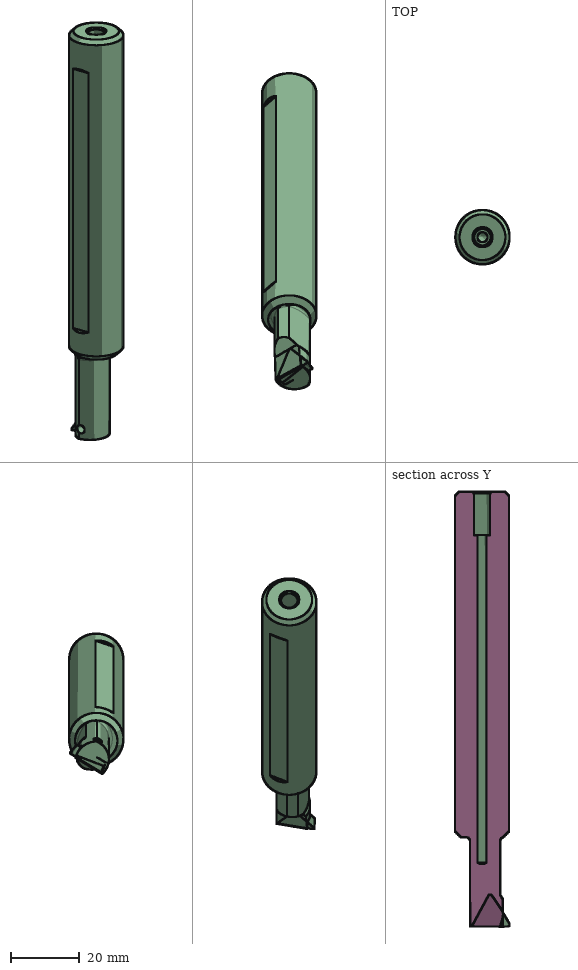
import cadquery as cq
import math


total_height = 127.1
shank_radius = 7.95
top_chamfer = 1.3
shank_bottom = 28.1
shank_taper = 1.8
underside_height = shank_bottom - shank_taper
root_fillet = 1.0

flat_depth = 0.5
flat_bottom = 35.5
flat_top = 117.0
flat_end_slope = 0.6

socket_radius = 2.4
socket_chamfer = 0.5
socket_depth = 12.7
coolant_radius = 1.46
coolant_bottom = 19.1
drill_point_angle = 118.0

neck_bottom = 0.4
neck_radius = 6.1
neck_right_radius = 5.8
neck_right = 3.5

relief_radius = 11.0
relief_left = -5.3
relief_bottom = 7.6
relief_ramp_depth = 1.3
relief_ramp_height = 1.9

tip = (-8.5, 0.0, 0.4)
edge_length = 11.7
edge_drop = 2.1
radial_tilt = 13.0
axial_tilt = 4.0
nose_radius = 0.6
insert_thickness = 3.2
clearance_angle = 7.0
screw_hole_radius = 1.3
screw_hole_along = 5.6
screw_hole_up = 2.8

pocket_length = 9.4
pocket_floor = 0.3
pocket_ramp_angle = 45.0
pocket_reach = 15.3

rise_along_x = math.tan(math.radians(radial_tilt))
rise_along_z = math.tan(math.radians(axial_tilt))
edge_fall = math.tan(math.radians(edge_drop))
rake_plane = cq.Plane(
    origin=tip,
    xDir=(1, rise_along_x - rise_along_z * edge_fall, -edge_fall),
    normal=(rise_along_x, -1, rise_along_z),
)


def revolve_about_z(profile):
    """Solid of revolution from (radius, height) points."""
    return cq.Workplane("XZ").polyline(profile).close().revolve(360, (0, 0), (0, 1))


def make_bar_envelope():
    """Turned outline of the bar: chamfered shank, cone and a plain stem around the neck."""
    stem_radius = shank_radius - shank_taper
    return revolve_about_z([
        (0, neck_bottom),
        (stem_radius, neck_bottom),
        (stem_radius, underside_height),
        (shank_radius, shank_bottom),
        (shank_radius, total_height - top_chamfer),
        (shank_radius - top_chamfer, total_height),
        (0, total_height),
    ])


def make_flat_cut(side):
    """Trapezoid removed along one flat; side is -1 for -Y and +1 for +Y."""
    floor_y = side * (shank_radius - flat_depth)
    outer_y = side * shank_radius
    return (
        cq.Workplane("YZ")
        .polyline([
            (floor_y, flat_bottom),
            (outer_y, flat_bottom - flat_end_slope),
            (outer_y, flat_top + flat_end_slope),
            (floor_y, flat_top),
        ])
        .close()
        .extrude(shank_radius, both=True)
    )


def make_coolant_cut():
    point_height = coolant_radius / math.tan(math.radians(drill_point_angle / 2))
    return revolve_about_z([
        (0, coolant_bottom - point_height),
        (coolant_radius, coolant_bottom),
        (coolant_radius, total_height - socket_depth),
        (socket_radius, total_height - socket_depth),
        (socket_radius, total_height - socket_chamfer),
        (socket_radius + socket_chamfer, total_height),
        (0, total_height),
    ])


def make_neck_round(radius, leg_profile=()):
    """Round body up to the shank's underside, flared at the top by the root fillet.

    leg_profile lists (radius, height) points of the side, from the bottom up to the plain stretch.
    """
    fillet_bottom = underside_height - root_fillet
    outline = cq.Workplane("XZ").moveTo(0, neck_bottom)
    for point in leg_profile or [(radius, neck_bottom)]:
        outline = outline.lineTo(*point)
    return (
        outline
        .lineTo(radius, fillet_bottom)
        .radiusArc((radius + root_fillet, underside_height), root_fillet)
        .lineTo(0, underside_height)
        .close()
        .revolve(360, (0, 0), (0, 1))
    )


def make_neck():
    """Overlap of the left round, the right round and the relief round on -X."""
    wide_radius = relief_radius + relief_ramp_depth
    left_round = make_neck_round(neck_radius)
    right_round = make_neck_round(neck_right_radius).translate((neck_right - neck_right_radius, 0, 0))
    relief_round = make_neck_round(relief_radius, [
        (wide_radius, neck_bottom),
        (wide_radius, relief_bottom),
        (relief_radius, relief_bottom + relief_ramp_height),
    ]).translate((relief_left + relief_radius, 0, 0))
    return left_round.intersect(right_round).intersect(relief_round)


def make_bar():
    """Turned shank with the neck below it; the root fillet stays inside the turned outline."""
    envelope = make_bar_envelope()
    shank_space = (
        cq.Workplane("XY")
        .workplane(offset=underside_height)
        .circle(2 * shank_radius)
        .extrude(total_height - underside_height)
    )
    return envelope.intersect(shank_space.union(make_neck()))


def make_insert():
    """Triangular insert with rounded noses, tapering away from its rake face."""
    triangle = cq.Sketch().polygon([
        (0, 0),
        (edge_length, 0),
        (edge_length / 2, edge_length * math.sin(math.radians(60))),
        (0, 0),
    ])
    return (
        cq.Workplane(rake_plane)
        .placeSketch(triangle.vertices().fillet(nose_radius))
        .extrude(insert_thickness, taper=clearance_angle)
    )


def make_chip_pocket_cut():
    """Open pocket above the rake face, ending in a ramp towards the neck."""
    ramp_run = pocket_reach / math.tan(math.radians(pocket_ramp_angle))
    side_plane = cq.Plane(origin=tip, xDir=rake_plane.yDir, normal=rake_plane.xDir)
    return (
        cq.Workplane(side_plane)
        .polyline([
            (-pocket_reach, -pocket_floor),
            (pocket_length, -pocket_floor),
            (pocket_length + ramp_run, -pocket_floor - pocket_reach),
            (-pocket_reach, -pocket_floor - pocket_reach),
        ])
        .close()
        .extrude(2 * pocket_reach, both=True)
    )


def make_screw_hole_cut():
    """Hole square to the insert, from its rake plane out through the -Y side of the neck."""
    return (
        cq.Workplane(rake_plane)
        .center(screw_hole_along, screw_hole_up)
        .circle(screw_hole_radius)
        .extrude(2 * neck_radius)
    )


insert = make_insert()

holder = make_bar()
for side in (-1, 1):
    holder = holder.cut(make_flat_cut(side))
holder = (
    holder
    .cut(make_coolant_cut())
    .cut(make_chip_pocket_cut())
    .cut(make_screw_hole_cut())
    .cut(insert)
)

result = cq.Compound.makeCompound([holder.val(), insert.val()])